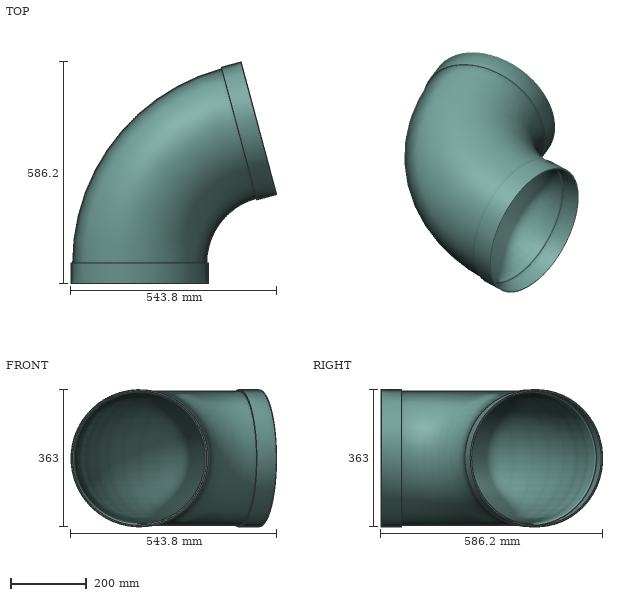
import cadquery as cq
import math

BEND_ANGLE = 75.0
BEND_RADIUS = 355.0
PIPE_DIAMETER = 355.0
WALL = 4.0
SOCKET_LENGTH = 54.0

PIPE_RADIUS = PIPE_DIAMETER / 2
PIPE_BORE_RADIUS = PIPE_RADIUS - WALL
SOCKET_RADIUS = PIPE_RADIUS + WALL

LIP_RADIUS = WALL


def make_bend():
    """Hollow torus segment from the inlet plane Y = 0 to the outlet plane."""
    ring = cq.Workplane("XZ").circle(PIPE_RADIUS).circle(PIPE_BORE_RADIUS)
    return ring.revolve(BEND_ANGLE, (BEND_RADIUS, 0), (BEND_RADIUS, -1))


def make_socket(direction):
    """Socket on the Y axis, open towards +Y (direction 1) or -Y (direction -1)."""
    mouth = direction * SOCKET_LENGTH
    shoulder = direction * LIP_RADIUS
    lip_middle = LIP_RADIUS * math.sqrt(0.5)
    profile = (
        cq.Workplane("XY")
        .moveTo(PIPE_BORE_RADIUS, 0)
        .lineTo(SOCKET_RADIUS, 0)
        .lineTo(SOCKET_RADIUS, mouth)
        .lineTo(PIPE_RADIUS, mouth)
        .lineTo(PIPE_RADIUS, shoulder)
        .threePointArc(
            (PIPE_RADIUS - lip_middle, direction * lip_middle),
            (PIPE_BORE_RADIUS, 0),
        )
        .close()
    )
    return profile.revolve(360, (0, 0), (0, 1))


def move_to_outlet(body):
    """Swing a body from the inlet plane round the bend axis to the outlet plane."""
    return body.rotate((BEND_RADIUS, 0, 0), (BEND_RADIUS, 0, 1), -BEND_ANGLE)


inlet_socket = make_socket(-1)
outlet_socket = move_to_outlet(make_socket(1))

result = make_bend().union(inlet_socket).union(outlet_socket)